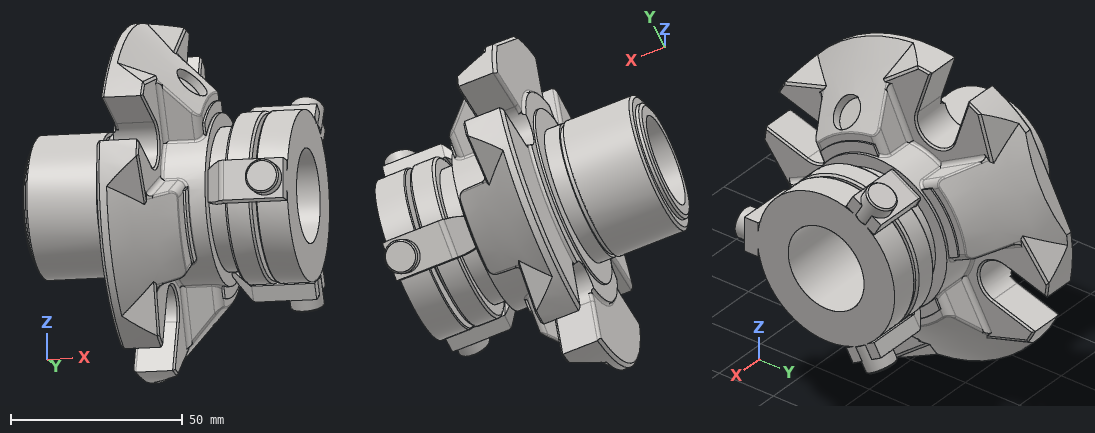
import cadquery as cq
import math

bore_radius = 14.0
reach = 100.0

nose_radius = 18.085
nose_length = 1.6
nose_chamfer = (0.6, 1.0)
sleeve_radius = 21.3
sleeve_chamfer = (0.7, 1.0)
groove_start = 23.3
groove_end = 24.7
groove_radius = 20.08
relief_radius = 20.98

gasket_front = 29.5
gasket_radius = 27.485
boss_front = 30.15
boss_radius = 32.9

flange_radius = 52.7
flange_front = 31.1
flange_back = 43.8
front_chamfer = 1.0
back_chamfer = 0.6
slot_count = 4
slot_radius = 7.2
slot_center = 36.0
slot_angle = -18.0
slot_front_fillet = 1.0
flat_distance = 50.0
cone_start = 34.3

hub_radius = 25.5
hub_end = 57.1
hub_fillet = 0.9
lobe_base_half_width = 12.3
lobe_flare = 1.8
lobe_start = flange_back - 1.5
lobe_end = 55.5
short_lobe_end = 51.4
lobe_corner_radius = 2.5
lobe_root_radius = 1.5
lobe_edge_fillet = 0.7
lobe_hub_fillet = 0.9
pad_radius = 29.0
pad_step = 0.65
pad_half_width = 11.1
ear_angle = 22.1
ear_facet_turn = 10.3
ear_facet_lean = 30.0
port_radius = 5.5
port_depth = 3.0
port_x = 50.9

neck_radius = 21.3
shaft_radius = 18.925
collar_radius = 25.3
collar_start = 62.8
collar_end = 70.8
collar_chamfer = 0.7
ring_start = 72.2
ring_end = 81.8
ring_chamfer = 0.35

clip_half_width = 5.95
clip_toe_half_width = 4.7
clip_top = 30.15
clip_toe_top = 22.2
clip_bend_radius = 2.0
clip_seat = 25.1
clip_seat_start = 62.6
clip_toe_seat = 21.1
clip_toe_gap_start = 58.3
screw_radius = 5.0
screw_top = 34.4
screw_chamfer = 0.5
screw_x = 77.24
front_screw_x = 76.4

lobe_angles = [slot_angle + 45 + 90 * i for i in range(slot_count)]
ported_lobe, short_lobe, plain_lobe, flat_lobe = lobe_angles
front_clip = 90
clip_angles = [front_clip, front_clip + 120, front_clip + 240]


def turn(solid, angle):
    """Turn a solid about X; zero has it along +Z and 90 degrees along -Y."""
    return solid.rotate((0, 0, 0), (1, 0, 0), angle)


def cylinder(start, end, radius):
    return cq.Workplane("YZ").workplane(offset=start).circle(radius).extrude(end - start)


def revolve(profile):
    return profile.revolve(360, (0, 0, 0), (1, 0, 0))


def cone_radius(x):
    """Radius of the 45 degree cone on the back of the flange."""
    return flange_radius + cone_start - x


def make_sleeve():
    nose_dx, nose_dr = nose_chamfer
    sleeve_dx, sleeve_dr = sleeve_chamfer
    profile = (
        cq.Workplane("XY")
        .lineTo(0, nose_radius - nose_dr)
        .lineTo(nose_dx, nose_radius)
        .lineTo(nose_length, nose_radius)
        .lineTo(nose_length, sleeve_radius - sleeve_dr)
        .lineTo(nose_length + sleeve_dx, sleeve_radius)
        .lineTo(groove_start, sleeve_radius)
        .lineTo(groove_start, groove_radius)
        .lineTo(groove_end, groove_radius)
        .lineTo(groove_end, relief_radius)
        .lineTo(flange_back, relief_radius)
        .lineTo(flange_back, 0)
        .close()
    )
    return revolve(profile)


def make_slots():
    """Open-ended bolt slots, round at the inner end."""
    slots = cq.Workplane("YZ")
    for i in range(slot_count):
        slot = cylinder(0, flange_back, slot_radius).translate((0, 0, slot_center)).union(
            cq.Workplane("XY").workplane(offset=slot_center)
            .rect(2 * flange_back, 2 * slot_radius).extrude(reach)
        )
        slots = slots.union(turn(slot, slot_angle + i * 360 / slot_count))
    return slots


def make_cone():
    """Solid inside the 45 degree cone that bounds the lobes."""
    return revolve(
        cq.Workplane("XY").moveTo(cone_start, 0)
        .lineTo(cone_start, cone_radius(cone_start))
        .lineTo(hub_end, cone_radius(hub_end))
        .lineTo(hub_end, 0)
        .close()
    )


def make_cone_cutter():
    """Waste outside the cone of one lobe, between its two ears, with the lobe along +Z."""
    cutter = cylinder(cone_start, hub_end, reach).cut(make_cone())
    lean = math.radians(ear_facet_lean)
    tip = math.radians(ear_angle)
    facet_turn = math.radians(ear_facet_turn)
    for side in (-1, 1):
        normal = (
            math.sin(lean),
            -side * math.cos(lean) * math.sin(facet_turn),
            math.cos(lean) * math.cos(facet_turn),
        )
        origin = (cone_start, side * flange_radius * math.sin(tip), flange_radius * math.cos(tip))
        facet = cq.Plane(origin=origin, xDir=(0, normal[2], -normal[1]), normal=normal)
        cutter = cutter.intersect(cq.Workplane(facet).rect(2 * reach, 2 * reach).extrude(reach))
    return cutter


def is_slot_edge(edge):
    """True for a slot edge of the flange front; rim and flat edges are centred further out."""
    center = edge.Center()
    return math.hypot(center.y, center.z) < flat_distance - 2 * front_chamfer


def is_exposed_edge(edge):
    """True for every edge of the flange back except the cone arcs, which run into the lobes."""
    return edge.geomType() != "CIRCLE" or not math.isclose(edge.radius(), cone_radius(flange_back))


def make_flange():
    flat_cutter = (
        cq.Workplane("XY").workplane(offset=flat_distance)
        .rect(2 * reach, 2 * reach).extrude(reach)
    )
    slots = make_slots()
    flange = cylinder(flange_front, flange_back, flange_radius)
    flange = flange.cut(turn(flat_cutter, flat_lobe)).faces("<X").chamfer(front_chamfer)
    flange = flange.cut(slots)
    flange = flange.faces("<X").edges().filter(is_slot_edge).fillet(slot_front_fillet)
    cone_cutter = make_cone_cutter()
    for angle in lobe_angles:
        flange = flange.cut(turn(cone_cutter, angle))
    flange = flange.faces(">X").edges().filter(is_exposed_edge).chamfer(back_chamfer)
    return flange.union(make_boss().cut(slots))


def make_boss():
    """Gasket face and locating boss, blended into the flange face by a hollow fillet."""
    fillet = flange_front - boss_front
    middle = fillet * (1 - math.sqrt(0.5))
    boss_back = flange_front + 2 * front_chamfer
    profile = (
        cq.Workplane("XY").moveTo(gasket_front, 0)
        .lineTo(gasket_front, gasket_radius)
        .lineTo(boss_front, gasket_radius)
        .lineTo(boss_front, boss_radius)
        .threePointArc((flange_front - middle, boss_radius + middle), (flange_front, boss_radius + fillet))
        .lineTo(boss_back, boss_radius + fillet)
        .lineTo(boss_back, 0)
        .close()
    )
    return revolve(profile)


def make_lobe_block(end):
    """Block along +Z with flared walls and rounded end corners."""
    outer_half_width = lobe_base_half_width + reach * math.tan(math.radians(lobe_flare))
    block = (
        cq.Workplane("YZ").workplane(offset=lobe_start)
        .moveTo(-lobe_base_half_width, 0)
        .lineTo(lobe_base_half_width, 0)
        .lineTo(outer_half_width, reach)
        .lineTo(-outer_half_width, reach)
        .close().extrude(end - lobe_start)
    )
    return block.faces(">X").edges("not |Y").fillet(lobe_corner_radius)


def make_lobe_root():
    """Hollow fillet where one lobe wall meets the back of the flange."""
    root = lobe_root_radius
    middle = root * (1 - math.sqrt(0.5))
    wall = lobe_base_half_width
    profile = (
        cq.Workplane("XY").moveTo(flange_back, wall + root)
        .threePointArc((flange_back + middle, wall + middle), (flange_back + root, wall))
        .lineTo(flange_back + root, 0)
        .lineTo(flange_back, 0)
        .close()
    )
    root_strip = profile.extrude(reach).rotate((0, wall, 0), (1, wall, 0), -lobe_flare)
    return root_strip.intersect(make_cone())


def make_lobe(end):
    """One lobe along +Z, rounded at its end and blended into its own length of hub."""
    block = make_lobe_block(end).intersect(make_cone())
    cone_edges = cq.selectors.BoxSelector((flange_back, -reach, pad_radius), (hub_end, reach, reach))
    block = block.edges(cone_edges).fillet(lobe_edge_fillet)
    lobe = block.union(cylinder(lobe_start, hub_end, hub_radius))
    hub_edges = cq.selectors.BoxSelector(
        (lobe_start + lobe_root_radius / 2, -hub_radius, nose_radius),
        (end + lobe_hub_fillet, hub_radius, hub_radius),
    )
    lobe = lobe.edges(hub_edges).fillet(lobe_hub_fillet)
    root = make_lobe_root()
    pad = (
        cq.Workplane("XY").center(flange_back, 0)
        .rect(2 * (end + pad_step - flange_back), 2 * pad_half_width).extrude(reach)
        .intersect(cylinder(flange_back, hub_end, pad_radius))
    )
    return lobe.union(root).union(root.mirror("XZ")).union(pad)


def make_hub():
    middle = hub_fillet * (1 - math.sqrt(0.5))
    profile = (
        cq.Workplane("XY").moveTo(gasket_front, 0)
        .lineTo(gasket_front, hub_radius)
        .lineTo(flange_back, hub_radius + hub_fillet)
        .threePointArc((flange_back + middle, hub_radius + middle), (flange_back + hub_fillet, hub_radius))
        .lineTo(hub_end, hub_radius)
        .lineTo(hub_end, 0)
        .close()
    )
    return revolve(profile)


def make_rear():
    neck = cylinder(hub_end, collar_start, neck_radius)
    shaft = cylinder(collar_start, ring_end, shaft_radius)
    collar = cylinder(collar_start, collar_end, collar_radius).edges().chamfer(collar_chamfer)
    ring = cylinder(ring_start, ring_end, collar_radius).edges("<X").chamfer(ring_chamfer)
    return neck.union(shaft).union(collar).union(ring)


def make_clip(clip_screw_x):
    side = (
        cq.Workplane("XZ").moveTo(hub_end, clip_toe_top)
        .lineTo(collar_start, clip_top)
        .lineTo(ring_end, clip_top)
        .lineTo(ring_end, clip_seat)
        .lineTo(clip_seat_start, clip_seat)
        .lineTo(clip_toe_gap_start, clip_toe_seat)
        .lineTo(hub_end, clip_toe_seat)
        .close().extrude(clip_half_width, both=True)
    )
    bend = cq.selectors.NearestToPointSelector((collar_start, 0, clip_top))
    side = side.edges(bend).fillet(clip_bend_radius)
    half_plan = (
        cq.Workplane("XY").moveTo(ring_end, clip_half_width)
        .lineTo(collar_start, clip_half_width)
        .tangentArcPoint((hub_end, clip_toe_half_width), relative=False)
        .lineTo(hub_end, 0)
        .lineTo(ring_end, 0)
        .close().extrude(reach)
    )
    plan = half_plan.union(half_plan.mirror("XZ"))
    screw = (
        cq.Workplane("XY").workplane(offset=collar_radius).center(clip_screw_x, 0)
        .circle(screw_radius).extrude(screw_top - collar_radius)
        .faces(">Z").chamfer(screw_chamfer)
    )
    return side.intersect(plan).union(screw)


def make_port():
    """Blind round port, square to the cone face of its lobe."""
    inward = cq.Plane(origin=(port_x, 0, cone_radius(port_x)), xDir=(0, 1, 0), normal=(1, 0, 1))
    return cq.Workplane(inward).circle(port_radius).extrude(port_depth, both=True)


result = make_sleeve().union(make_hub()).union(make_flange())
for angle in lobe_angles:
    lobe = make_lobe(short_lobe_end if angle == short_lobe else lobe_end)
    result = result.union(turn(lobe, angle))
result = result.cut(turn(make_port(), ported_lobe))
result = result.union(make_rear())
for angle in clip_angles:
    result = result.union(turn(make_clip(front_screw_x if angle == front_clip else screw_x), angle))
result = result.cut(cylinder(0, ring_end, bore_radius))